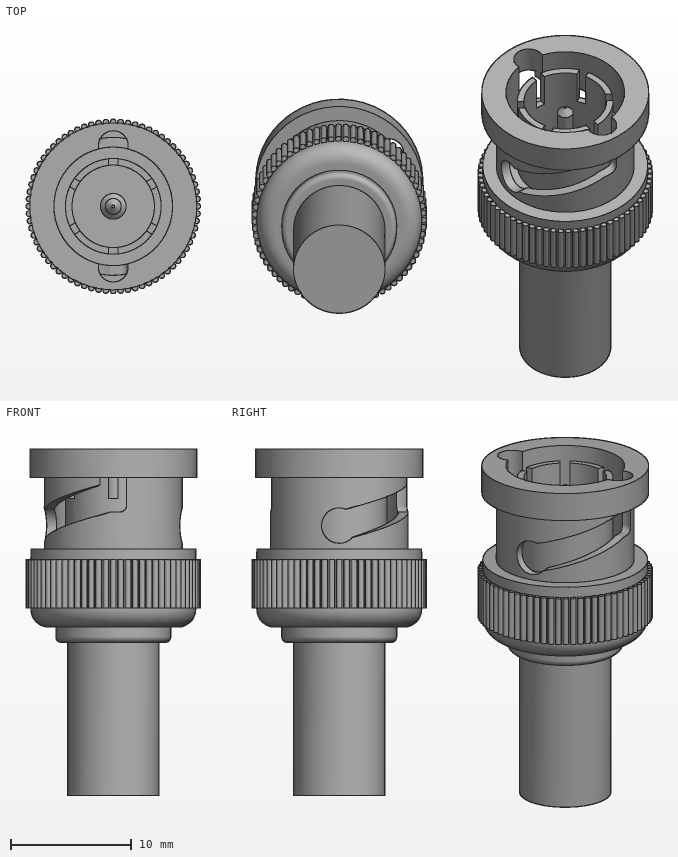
import cadquery as cq


total_height = 28.75
shell_bottom = 12.7
cup_bottom = 13.97
knurl_bottom = 15.55
knurl_top = 19.58
collar_top = 20.47
flange_bottom = 26.35
bore_floor = collar_top

ring_radius = 4.77
collar_radius = 6.85
barrel_radius = 5.72
flange_radius = 6.93
bore_radius = 4.92
cup_rounding = 1.5
ring_rounding = 0.45

rib_count = 72
rib_radius = 0.245
rib_tip_radius = 7.25
rib_centre_radius = rib_tip_radius - rib_radius

keyway_radius = 1.25
keyway_centre_radius = 5.03
keyway_floor = 23.52
keyway_rounding = 0.5
detent_radius = 1.47
detent_height = 22.4
ramp_lead = 10.0
ramp_start_height = 22.35
ramp_slot_height = 2.5
ramp_turn = 0.25
wall_cut_inner = 4.45
wall_cut_outer = 6.32

sleeve_outer_radius = 3.97
sleeve_inner_radius = 3.42
sleeve_top = 27.75
sleeve_slot_count = 6
sleeve_slot_width = 0.8
sleeve_slot_floor = 24.65

pin_base_radius = 1.05
pin_radius = 0.65
pin_tip_radius = 0.12
pin_top = 27.02

ferrule_radius = 3.8


def cylinder(radius, bottom, top):
    return cq.Workplane("XY").workplane(offset=bottom).circle(radius).extrude(top - bottom)


def half_turn_pair(cutter):
    """A cutter together with its copy half a turn around the axis."""
    opposite = cutter.rotate((0, 0, 0), (0, 0, 1), 180)
    return [cutter, opposite]


def make_outer_shell():
    """Turned outside: rear ring, rounded cup, collar, barrel and flange."""
    ring = cylinder(ring_radius, shell_bottom, cup_bottom).faces("<Z").edges().fillet(ring_rounding)
    cup = cylinder(collar_radius, cup_bottom, collar_top).faces("<Z").edges().fillet(cup_rounding)
    barrel = cylinder(barrel_radius, collar_top, flange_bottom)
    flange = cylinder(flange_radius, flange_bottom, total_height)
    return ring.union(cup).union(barrel).union(flange)


def make_knurl_ribs():
    return (
        cq.Workplane("XY")
        .workplane(offset=knurl_bottom)
        .polarArray(rib_centre_radius, 0, 360, rib_count)
        .circle(rib_radius)
        .extrude(knurl_top - knurl_bottom)
    )


def make_keyway():
    """Axial channel on the -Y side, open at the top, with a rounded floor edge."""
    return (
        cylinder(keyway_radius, keyway_floor, total_height)
        .faces("<Z")
        .edges()
        .fillet(keyway_rounding)
        .translate((0, -keyway_centre_radius, 0))
    )


def make_detent_hole():
    """Radial hole through the barrel wall on the -X side, at the low end of the ramp."""
    return (
        cq.Workplane("YZ")
        .workplane(offset=-wall_cut_outer)
        .center(0, detent_height)
        .circle(detent_radius)
        .extrude(wall_cut_outer - wall_cut_inner)
    )


def make_ramp_slot():
    """Helical slot through the barrel wall, rising from -X round to -Y."""
    middle_radius = (wall_cut_inner + wall_cut_outer) / 2
    path = cq.Wire.makeHelix(ramp_lead, ramp_lead * ramp_turn, middle_radius)
    slot = (
        cq.Workplane("XZ")
        .center(middle_radius, 0)
        .rect(wall_cut_outer - wall_cut_inner, ramp_slot_height)
        .sweep(cq.Workplane(path), isFrenet=True)
    )
    return slot.rotate((0, 0, 0), (0, 0, 1), 180).translate((0, 0, ramp_start_height))


def make_sleeve():
    """Thin spring sleeve in the bore, split by slots at its free end."""
    sleeve = cylinder(sleeve_outer_radius, bore_floor, sleeve_top)
    sleeve = sleeve.cut(cylinder(sleeve_inner_radius, bore_floor, sleeve_top))
    slot_angle = 360 / sleeve_slot_count
    first_slot_angle = slot_angle / 2
    for index in range(sleeve_slot_count):
        slot = (
            cq.Workplane("XY")
            .box(bore_radius, sleeve_slot_width, sleeve_top - sleeve_slot_floor,
                 centered=(False, True, False))
            .translate((0, 0, sleeve_slot_floor))
            .rotate((0, 0, 0), (0, 0, 1), first_slot_angle + index * slot_angle)
        )
        sleeve = sleeve.cut(slot)
    return sleeve


def make_shell():
    shell = make_outer_shell().union(make_knurl_ribs())
    shell = shell.cut(cylinder(bore_radius, bore_floor, total_height))
    for make_cutter in (make_keyway, make_detent_hole, make_ramp_slot):
        for cutter in half_turn_pair(make_cutter()):
            shell = shell.cut(cutter)
    return shell.union(make_sleeve())


def make_pin():
    """Turned pin on the bore floor with a 45 degree shoulder and a 45 degree tip."""
    shoulder_top = bore_floor + pin_base_radius - pin_radius
    tip_bottom = pin_top - (pin_radius - pin_tip_radius)
    return (
        cq.Workplane("XZ")
        .moveTo(0, bore_floor)
        .lineTo(pin_base_radius, bore_floor)
        .lineTo(pin_radius, shoulder_top)
        .lineTo(pin_radius, tip_bottom)
        .lineTo(pin_tip_radius, pin_top)
        .lineTo(0, pin_top)
        .close()
        .revolve(360, (0, 0, 0), (0, 1, 0))
    )


def make_ferrule():
    return cylinder(ferrule_radius, 0, shell_bottom)


shell = make_shell()
pin = make_pin()
ferrule = make_ferrule()

result = cq.Compound.makeCompound([shell.val(), pin.val(), ferrule.val()])